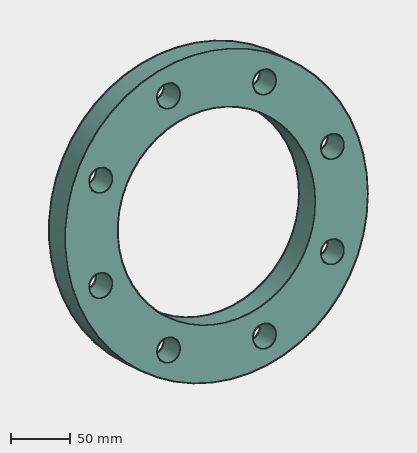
import cadquery as cq

outer_diameter = 289.7
bore_diameter = 189.0
thickness = 29.0

bolt_circle_diameter = 240.0
bolt_hole_diameter = 22.0
bolt_hole_count = 8
bolt_pitch_angle = 360 / bolt_hole_count
first_bolt_angle = bolt_pitch_angle / 2

ring = (
    cq.Workplane("YZ")
    .circle(outer_diameter / 2)
    .circle(bore_diameter / 2)
    .extrude(thickness)
)

bolt_holes = (
    cq.Workplane("YZ")
    .polarArray(bolt_circle_diameter / 2, first_bolt_angle, 360, bolt_hole_count)
    .circle(bolt_hole_diameter / 2)
    .extrude(thickness)
)

result = ring.cut(bolt_holes)